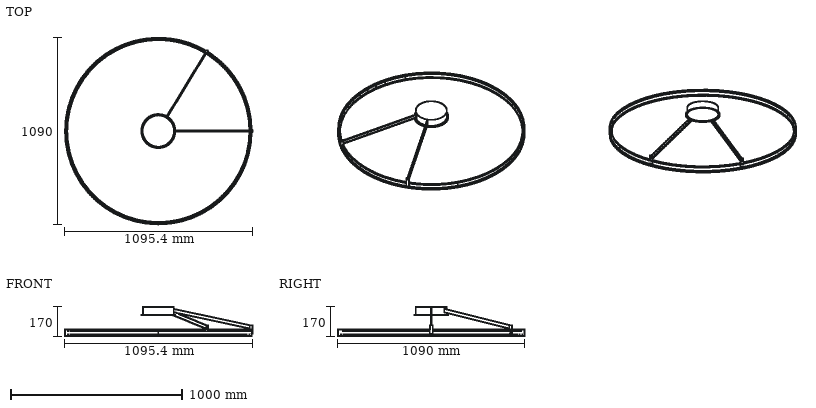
import cadquery as cq
import math

ring_radius = 545.0
ring_height = 39.0
ring_wall = 4.9
rib_radius = 10.0

total_height = 170.0
canopy_radius = 91.0
plate_radius = 100.0
plate_thickness = 4.0
plate_bottom = 122.0
plate_top = plate_bottom + plate_thickness

post_radius = 9.0
post_reach = 550.4
post_distance = post_reach - post_radius
post_bottom = 13.0
post_top = 65.0

arm_thickness = 7.0
arm_height = 21.0
arm_start_top = 159.0
arm_end_top = 62.0
arm_floor = ring_height + 1.0
arm_angles = [0, 58.7]


def cylinder(radius, bottom, top):
    return cq.Workplane("XY").workplane(offset=bottom).circle(radius).extrude(top - bottom)


def tube(outer_radius, width, bottom, top):
    bore = cylinder(outer_radius - width, bottom, top)
    return cylinder(outer_radius, bottom, top).cut(bore)


def place(body, angle):
    """Turn a body built along +X to its angle about the Z axis."""
    return body.rotate((0, 0, 0), (0, 0, 1), angle)


def make_post():
    return cylinder(post_radius, post_bottom, post_top).translate((post_distance, 0, 0))


def make_arm():
    start_x = canopy_radius * math.cos(math.asin(arm_thickness / 2 / canopy_radius))
    bar = (
        cq.Workplane("XZ")
        .polyline([
            (start_x, arm_start_top),
            (post_distance, arm_end_top),
            (post_distance, arm_end_top - arm_height),
            (start_x, arm_start_top - arm_height),
        ])
        .close()
        .extrude(arm_thickness / 2, both=True)
    )
    below_floor = cq.Workplane("XY").box(
        2 * post_reach, 2 * post_reach, arm_floor, centered=(True, True, False)
    )
    return bar.cut(below_floor).cut(make_post()).cut(canopy)


def make_rib():
    """Half-round bead at mid-height on the inner face of the ring wall."""
    wall_inner = ring_radius - ring_wall
    middle = ring_height / 2
    return (
        cq.Workplane("XZ")
        .moveTo(wall_inner, middle - rib_radius)
        .threePointArc((wall_inner - rib_radius, middle), (wall_inner, middle + rib_radius))
        .close()
        .revolve(360, (0, 0, 0), (0, 1, 0))
    )


def make_half_ring(side):
    """Half hoop on the -X (side = -1) or +X (side = 1) half, recessed for the posts."""
    wall = tube(ring_radius, ring_wall, 0, ring_height)
    rib = make_rib()
    hoop = wall.union(rib)
    half_space = (
        cq.Workplane("XY")
        .box(2 * ring_radius, 4 * ring_radius, 2 * ring_height)
        .translate((side * ring_radius, 0, 0))
    )
    half = hoop.intersect(half_space)
    for post in posts:
        half = half.cut(post)
    return half


plate = cylinder(plate_radius, plate_bottom, plate_top)
canopy = cylinder(canopy_radius, plate_top, total_height)
posts = [place(make_post(), angle) for angle in arm_angles]
arms = [place(make_arm(), angle) for angle in arm_angles]
half_rings = [make_half_ring(side) for side in (-1, 1)]

bodies = [plate, canopy, *posts, *arms, *half_rings]
result = cq.Compound.makeCompound([solid for body in bodies for solid in body.solids().vals()])